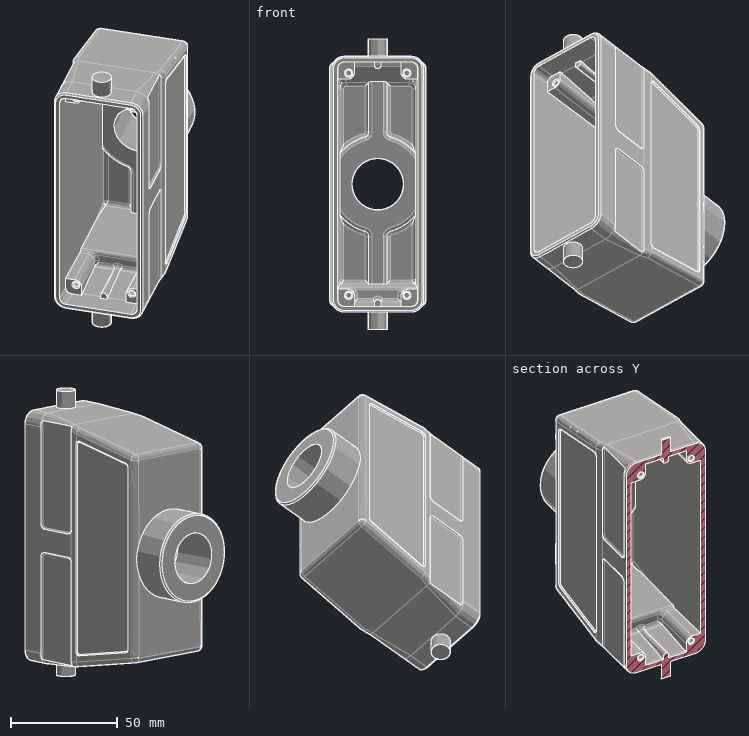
import cadquery as cq
TOTAL_HEIGHT = 136.0
TOTAL_DEPTH = 92.0
BODY_WIDTH = 45.0
RIM_WIDTH = 43.0
RIM_HEIGHT = 119.7

RIM_DEPTH = 10.9
STEP_START = 32.0
STEP_END = 36.5
BODY_DEPTH = 75.9

STEP_HEIGHT = 115.6
BACK_HEIGHT = 98.7
RIM_RADIUS = 5.8
BODY_RADIUS = 2.6
RIM_CHAMFER = 0.8

WALL = 2.7
CAVITY_MOUTH_WIDTH = 37.5
CAVITY_FLOOR_WIDTH = 35.4
CAVITY_RADIUS = 3.0
CAVITY_FLOOR = BODY_DEPTH - WALL

PLATFORM_HEIGHT = 4.1
PLATFORM_RADIUS = 22.8
SPINE_WIDTH = 8.5
PLATFORM_FILLET = 1.6
SPINE_JOINT_RADIUS = 2.5
POCKET_FILLET = 1.8

ENTRY_DIAMETER = 42.2
ENTRY_BORE = 24.0
ENTRY_CHAMFER = 0.8

PIN_DIAMETER = 9.0
PIN_DEPTH = 6.1

PILLAR_START = 9.5
PILLAR_X = 10.9
PILLAR_Z = 49.1
PILLAR_RADIUS = 3.3
SCREW_X = 13.6
SCREW_Z = 52.0
SCREW_DIAMETER = 2.7
SCREW_SINK_DIAMETER = 3.8
SCREW_DEPTH = 16.3

LEDGE_START = 33.7
LEDGE_FRONT_Z = 48.1
LEDGE_BACK_Z = 46.5
LEDGE_LIP_RADIUS = 1.5
LEDGE_FOOT_RADIUS = 1.6

RIB_WIDTH = 3.0
RIB_TIP_Z = 54.0

GRIP_DEPTH = 0.8
GRIP_START = 11.5
GRIP_INNER_Z = 5.6
GRIP_OUTER_Z = 57.7
GRIP_RADIUS = 2.5
GRIP_FLOOR_RADIUS = 0.7
PANEL_DEPTH = 0.7
PANEL_START = 36.0
PANEL_END = 71.3
PANEL_MARGIN = 5.5
PANEL_RADIUS = 2.0
PANEL_FLOOR_CHAMFER = 0.5


def height_at(depth):
    """Outer height of the tapered body at a given depth behind the step."""
    slope = (STEP_HEIGHT - BACK_HEIGHT) / (BODY_DEPTH - STEP_START)
    return STEP_HEIGHT - slope * (depth - STEP_START)


def section(width, height, radius, depth):
    """Rounded rectangle standing in the XZ plane at the given depth."""
    outline = cq.Workplane("XZ", origin=(0, depth, 0)).rect(width, height).val()
    return outline.fillet2D(radius, outline.Vertices())


def loft_through(sections):
    """Join consecutive sections with straight-sided lofts."""
    solid = cq.Workplane(cq.Solid.makeLoft(sections[:2], True))
    for near, far in zip(sections[1:], sections[2:]):
        solid = solid.union(cq.Workplane(cq.Solid.makeLoft([near, far], True)))
    return solid


def block(x_range, y_range, z_range):
    """Axis-aligned box given by its limits."""
    size = [high - low for low, high in (x_range, y_range, z_range)]
    corner = (x_range[0], y_range[0], z_range[0])
    return cq.Workplane("XY").box(*size, centered=False).translate(corner)


def cylinder_y(diameter, start, end, x=0, z=0):
    """Cylinder along Y between two depths."""
    return cq.Workplane(cq.Solid.makeCylinder(
        diameter / 2, end - start, cq.Vector(x, start, z), cq.Vector(0, 1, 0)))


def make_body():
    body = loft_through([
        section(RIM_WIDTH, RIM_HEIGHT, RIM_RADIUS, 0),
        section(RIM_WIDTH, RIM_HEIGHT, RIM_RADIUS, RIM_DEPTH),
        section(RIM_WIDTH, STEP_HEIGHT, BODY_RADIUS, STEP_START),
        section(BODY_WIDTH, height_at(STEP_END), BODY_RADIUS, STEP_END),
        section(BODY_WIDTH, BACK_HEIGHT, BODY_RADIUS, BODY_DEPTH),
    ])
    body = body.faces("<Y").chamfer(RIM_CHAMFER)
    return body.faces(">Y").edges().fillet(BODY_RADIUS * 0.99)


def make_cavity():
    def width_at(depth):
        taper = (CAVITY_MOUTH_WIDTH - CAVITY_FLOOR_WIDTH) / CAVITY_FLOOR
        return CAVITY_MOUTH_WIDTH - taper * depth

    stations = [
        (0, RIM_HEIGHT),
        (RIM_DEPTH, RIM_HEIGHT),
        (STEP_START, STEP_HEIGHT),
        (CAVITY_FLOOR, height_at(CAVITY_FLOOR)),
    ]
    return loft_through([
        section(width_at(depth), height - 2 * WALL, CAVITY_RADIUS, depth)
        for depth, height in stations
    ])


def make_platform():
    """Disc with a lengthwise spine, standing on the cavity floor."""
    top = CAVITY_FLOOR - PLATFORM_HEIGHT
    disc = cylinder_y(2 * PLATFORM_RADIUS, top, CAVITY_FLOOR)
    spine = block((-SPINE_WIDTH / 2, SPINE_WIDTH / 2), (top, CAVITY_FLOOR),
                  (-RIM_HEIGHT / 2, RIM_HEIGHT / 2))
    platform = disc.union(spine).edges("|Y").edges(
        cq.selectors.BoxSelector((-SPINE_WIDTH, top - 1.4, -PLATFORM_RADIUS - 1.4),
                                 (SPINE_WIDTH, BODY_DEPTH, PLATFORM_RADIUS + 1.4))
    ).fillet(SPINE_JOINT_RADIUS)
    return platform.faces("<Y").edges().fillet(PLATFORM_FILLET)


def make_pillars():
    """Four screw pillars running from near the rim into the tapered end walls."""
    pillars = cq.Workplane()
    for side in (-1, 1):
        for end in (-1, 1):
            x_range = sorted((side * PILLAR_X, side * RIM_WIDTH / 2))
            z_range = sorted((end * PILLAR_Z, end * RIM_HEIGHT / 2))
            inner_edge = (side * PILLAR_X, BODY_DEPTH / 2, end * PILLAR_Z)
            pillar = block(x_range, (PILLAR_START, CAVITY_FLOOR), z_range)
            pillar = pillar.edges("|Y").edges(cq.NearestToPointSelector(inner_edge)).fillet(PILLAR_RADIUS)
            pillars = pillars.add(pillar)
    return pillars.combine()


def make_ribs():
    """Two round-nosed ribs in the middle of the cavity end walls."""
    ribs = cq.Workplane()
    nose_z = RIB_TIP_Z + RIB_WIDTH / 2
    for end in (-1, 1):
        z_range = sorted((end * nose_z, end * RIM_HEIGHT / 2))
        ribs = ribs.add(block((-RIB_WIDTH / 2, RIB_WIDTH / 2), (PILLAR_START, CAVITY_FLOOR), z_range))
        ribs = ribs.add(cylinder_y(RIB_WIDTH, PILLAR_START, CAVITY_FLOOR, z=end * nose_z))
    return ribs.combine()


def make_screw_holes():
    holes = cq.Workplane()
    sink = (SCREW_SINK_DIAMETER - SCREW_DIAMETER) / 2
    for x in (-SCREW_X, SCREW_X):
        for z in (-SCREW_Z, SCREW_Z):
            holes = holes.add(cylinder_y(SCREW_DIAMETER, PILLAR_START, PILLAR_START + SCREW_DEPTH, x, z))
            holes = holes.add(cq.Workplane(cq.Solid.makeCone(
                SCREW_SINK_DIAMETER / 2, SCREW_DIAMETER / 2, sink,
                cq.Vector(x, PILLAR_START, z), cq.Vector(0, 1, 0))))
    return holes.combine()


def make_entry():
    entry = cylinder_y(ENTRY_DIAMETER, CAVITY_FLOOR, TOTAL_DEPTH)
    return entry.faces(">Y").chamfer(ENTRY_CHAMFER)


def make_pins():
    pin_start = RIM_HEIGHT / 2 - WALL
    pin = cq.Workplane("XY", origin=(0, PIN_DEPTH, pin_start)).circle(PIN_DIAMETER / 2)
    pin = pin.extrude(TOTAL_HEIGHT / 2 - pin_start)
    return pin.union(pin.mirror("XY"))


def make_grip_recesses():
    """Two recesses per side face, opening through the corners at their outer ends."""
    recesses = cq.Workplane()
    for side in (-1, 1):
        x_range = sorted((side * (RIM_WIDTH / 2 - GRIP_DEPTH), side * BODY_WIDTH / 2))
        for end in (-1, 1):
            z_range = sorted((end * GRIP_INNER_Z, end * GRIP_OUTER_Z))
            inner_end = "<Z" if end > 0 else ">Z"
            recess = block(x_range, (GRIP_START, STEP_START), z_range)
            floor = "<X" if side > 0 else ">X"
            recess = recess.faces(inner_end).edges("|X").fillet(GRIP_RADIUS)
            recesses = recesses.add(recess.faces(floor).edges().fillet(GRIP_FLOOR_RADIUS))
    return recesses.combine()


def make_panel_recesses():
    """One shallow recess per side face, following the taper of the body."""
    near_z = height_at(PANEL_START) / 2 - PANEL_MARGIN
    far_z = height_at(PANEL_END) / 2 - PANEL_MARGIN
    outline = [(PANEL_START, near_z), (PANEL_END, far_z), (PANEL_END, -far_z), (PANEL_START, -near_z)]
    floor_x = BODY_WIDTH / 2 - PANEL_DEPTH
    panel = cq.Workplane("YZ", origin=(floor_x, 0, 0)).polyline(outline).close().extrude(2 * PANEL_DEPTH)
    panel = panel.edges("|X").fillet(PANEL_RADIUS)
    panel = panel.faces("<X").chamfer(PANEL_FLOOR_CHAMFER)
    return panel.union(panel.mirror("YZ"))


def make_ledge():
    """Full-width ledge that thickens the lower end wall behind its front face."""
    base_z = -RIM_HEIGHT / 2
    outline = [(LEDGE_START, base_z), (LEDGE_START, -LEDGE_FRONT_Z),
               (CAVITY_FLOOR, -LEDGE_BACK_Z), (CAVITY_FLOOR, base_z)]
    ledge = cq.Workplane("YZ").polyline(outline).close().extrude(RIM_WIDTH / 2, both=True)
    lip = cq.NearestToPointSelector((0, LEDGE_START, -LEDGE_FRONT_Z))
    return ledge.edges("|X").edges(lip).fillet(LEDGE_LIP_RADIUS)


def make_hollow():
    """Space inside the hood: the cavity less everything that stands in it."""
    hollow = make_cavity().cut(make_platform()).cut(make_ledge())
    hollow = hollow.faces(">Y").edges().fillet(POCKET_FILLET)
    hollow = hollow.cut(make_pillars()).cut(make_ribs())
    ledge_foot = cq.selectors.BoxSelector(
        (-PILLAR_X - 0.1, LEDGE_START - 0.1, -RIM_HEIGHT / 2),
        (PILLAR_X + 0.1, LEDGE_START + 0.1, -LEDGE_FRONT_Z - LEDGE_LIP_RADIUS - 0.1))
    return hollow.edges(ledge_foot).fillet(LEDGE_FOOT_RADIUS)


result = make_body().union(make_entry()).union(make_pins())
result = result.cut(make_hollow())
result = result.cut(make_grip_recesses()).cut(make_panel_recesses()).cut(make_screw_holes())
result = result.cut(cylinder_y(ENTRY_BORE, 0, TOTAL_DEPTH))